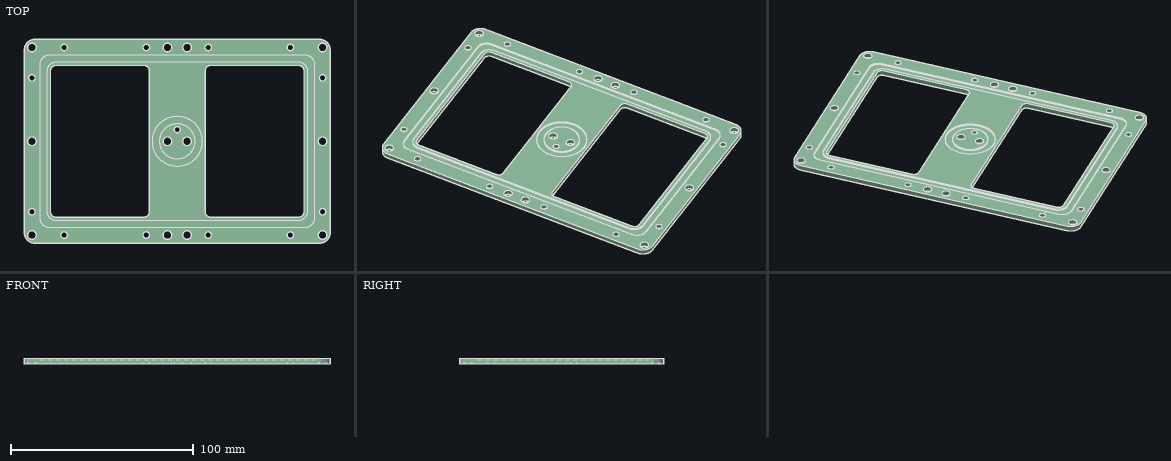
import cadquery as cq

PLATE_LENGTH = 168.15
PLATE_WIDTH = 112.14
PLATE_THICKNESS = 3.17
PLATE_CORNER_RADIUS = 6.0

WINDOW_OUTER_X = 69.5
WINDOW_INNER_X = 15.5
WINDOW_SPAN_Y = 83.2
WINDOW_CORNER_RADIUS = 2.8

GROOVE_DEPTH = 0.75
FRAME_GROOVE_SPAN_X = 150.8
FRAME_GROOVE_SPAN_Y = 94.8
FRAME_GROOVE_WIDTH = 3.8
FRAME_GROOVE_OUTER_RADIUS = 5.3
FRAME_GROOVE_INNER_RADIUS = 5.5
RING_GROOVE_OUTER_DIAMETER = 27.5
RING_GROOVE_INNER_DIAMETER = 19.4

LARGE_HOLE_DIAMETER = 4.6
SMALL_HOLE_DIAMETER = 3.4
PIN_HOLE_DIAMETER = 3.2
HOLE_COLUMN_X = 79.8
HOLE_ROW_Y = 51.5
PORT_X = 5.4
PIN_HOLE_Y = 6.4
ROW_SMALL_HOLE_X = (17.0, 62.1)
COLUMN_SMALL_HOLE_Y = (34.8, -38.7)


def rounded_block(length, width, height, radius, center_x=0.0, base_z=0.0):
    """Upright block with rounded vertical corners, centred on Y = 0."""
    block = cq.Workplane("XY").box(length, width, height, centered=(True, True, False))
    return block.edges("|Z").fillet(radius).translate((center_x, 0, base_z))


def make_window(side):
    """Cutter for one window; side is -1 for left and +1 for right."""
    length = WINDOW_OUTER_X - WINDOW_INNER_X
    center_x = side * (WINDOW_OUTER_X + WINDOW_INNER_X) / 2
    return rounded_block(length, WINDOW_SPAN_Y, PLATE_THICKNESS, WINDOW_CORNER_RADIUS, center_x)


def make_frame_groove():
    """Cutter for the rectangular groove that surrounds both windows."""
    floor_z = PLATE_THICKNESS - GROOVE_DEPTH
    outer = rounded_block(
        FRAME_GROOVE_SPAN_X, FRAME_GROOVE_SPAN_Y, GROOVE_DEPTH, FRAME_GROOVE_OUTER_RADIUS, base_z=floor_z
    )
    inner = rounded_block(
        FRAME_GROOVE_SPAN_X - 2 * FRAME_GROOVE_WIDTH,
        FRAME_GROOVE_SPAN_Y - 2 * FRAME_GROOVE_WIDTH,
        GROOVE_DEPTH,
        FRAME_GROOVE_INNER_RADIUS,
        base_z=floor_z,
    )
    return outer.cut(inner)


def make_ring_groove():
    """Cutter for the circular groove around the central ports."""
    ring = cq.Workplane("XY").workplane(offset=PLATE_THICKNESS - GROOVE_DEPTH)
    ring = ring.circle(RING_GROOVE_OUTER_DIAMETER / 2).circle(RING_GROOVE_INNER_DIAMETER / 2)
    return ring.extrude(GROOVE_DEPTH)


def make_holes(points, diameter):
    """Cutter for through holes of one diameter at the given points."""
    return cq.Workplane("XY").pushPoints(points).circle(diameter / 2).extrude(PLATE_THICKNESS)


large_points = []
small_points = []
for x_side in (-1, 1):
    large_points.append((x_side * HOLE_COLUMN_X, 0))
    large_points.append((x_side * PORT_X, 0))
    for y in COLUMN_SMALL_HOLE_Y:
        small_points.append((x_side * HOLE_COLUMN_X, y))
    for row_y in (-HOLE_ROW_Y, HOLE_ROW_Y):
        large_points.append((x_side * HOLE_COLUMN_X, row_y))
        large_points.append((x_side * PORT_X, row_y))
        for x in ROW_SMALL_HOLE_X:
            small_points.append((x_side * x, row_y))

plate = rounded_block(PLATE_LENGTH, PLATE_WIDTH, PLATE_THICKNESS, PLATE_CORNER_RADIUS)
for x_side in (-1, 1):
    plate = plate.cut(make_window(x_side))
plate = plate.cut(make_frame_groove())
plate = plate.cut(make_ring_groove())
plate = plate.cut(make_holes(large_points, LARGE_HOLE_DIAMETER))
plate = plate.cut(make_holes(small_points, SMALL_HOLE_DIAMETER))
plate = plate.cut(make_holes([(0, PIN_HOLE_Y)], PIN_HOLE_DIAMETER))

result = plate